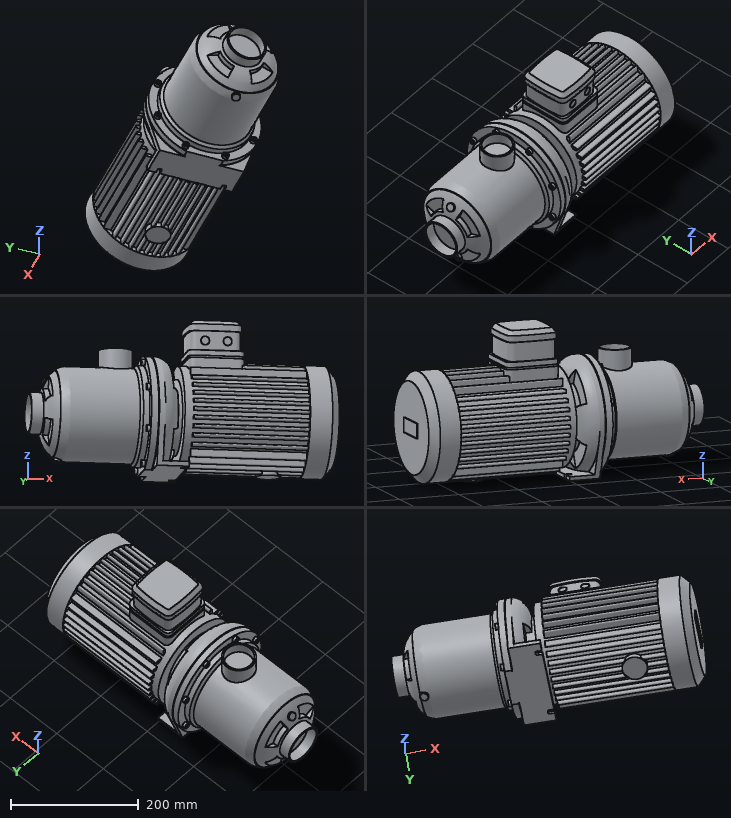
import cadquery as cq
import math


INLET_OUTER_DIAMETER = 66.0
INLET_BORE_DIAMETER = 60.5
DOME_START = 19.0
DOME_END = 39.5
DOME_MID_X = 25.5
DOME_MID_RADIUS = 52.5
DOME_DIAMETER = 136.0
COVER_POCKET_FLOOR = 29.5
COVER_POCKET_INNER_RADIUS = 39.0
COVER_POCKET_HALF_ANGLE = 25.0

BARREL_DIAMETER = 150.0
BARREL_EDGE_RADIUS = 69.5
BARREL_ROUND_X = 46.5
BARREL_ROUND_RADIUS = 73.0
BARREL_START = 54.0
FLARE_START = 164.5
FLARE_END = 169.0
COLLAR_DIAMETER = 160.0

OUTLET_X = 138.0
OUTLET_TOP = 103.5
OUTLET_OUTER_DIAMETER = 54.0
OUTLET_BORE_DIAMETER = 48.5
OUTLET_BORE_DEPTH = 20.0

PLUG_DIAMETER = 13.5
PLUG_LENGTH = 9.5
VENT_PLUG_X = 22.5
VENT_PLUG_Z = 53.5
VENT_PLUG_TILT = 30.6
DRAIN_PLUG_X = 46.0
DRAIN_PLUG_Z = -76.5
DRAIN_PLUG_TILT = -76.0

FLANGE_DIAMETER = 190.0
FLANGE_START = 179.0
BRACKET_START = 191.8
FLANGE_GROOVE_WIDTH = 1.0
FLANGE_GROOVE_DEPTH = 0.5
BRACKET_RIM_END = 201.5
BRACKET_MID_X = 219.0
BRACKET_MID_RADIUS = 84.0
BRACKET_END = 227.5
BRACKET_END_RADIUS = 62.5
BRACKET_WINDOW_FLOOR = 217.5
BRACKET_WINDOW_HALF_ANGLE = 22.0
NECK_DIAMETER = 120.0

POCKET_COUNT = 4
CUT_REACH = 120.8

FOOT_BOTTOM = -90.0
FOOT_WIDTH = 142.0
FOOT_THICKNESS = 7.2
FOOT_END = 243.5
FOOT_SLOT_WIDTH = 7.0
FOOT_SLOT_LENGTH = 10.5
FOOT_SLOT_OFFSET = 54.0

MOTOR_START = 234.5
MOTOR_CORE_DIAMETER = 163.0
MOTOR_DIAMETER = 178.0
FIN_START = 248.5
FIN_SPREAD = 106.7
FIN_THICKNESS = 5.5
FINS_EACH_SIDE = 4
FIN_PITCH = FIN_SPREAD / (2 * FINS_EACH_SIDE)
CAP_START = 433.0
CAP_BEVEL_START = 468.0
CAP_END = 481.5
CAP_END_DIAMETER = 148.5
OVERALL_LENGTH = 483.0
NAMEPLATE_WIDTH = 55.5
NAMEPLATE_HEIGHT = 24.0
PAD_DIAMETER = 40.0
PAD_X = 381.0

BASE_X = 292.5
BASE_SIZE = 89.0
BASE_CORNER_RADIUS = 10.0
BASE_TOP = 101.5
BASE_GROOVE_BOTTOM = 89.5
BASE_GROOVE_TOP = 92.5
BASE_GROOVE_DEPTH = 0.5
BOX_X = 291.5
BOX_SIZE = 84.0
LID_SIZE = 88.0
BOX_BULGE = 3.0
BOX_CORNER_RADIUS = 10.5
LID_BOTTOM = 132.5
LID_TOP = 150.0
LID_CHAMFER = 7.2
CABLE_ENTRY_DIAMETER = 13.5
CABLE_ENTRY_SPACING = 35.7
CABLE_ENTRY_Z = 117.0

SCREW_COUNT = 8
SCREW_CIRCLE_DIAMETER = 174.0
SCREW_HEAD_DIAMETER = 10.0
SCREW_HEAD_LENGTH = 5.5
SCREW_SOCKET_SIZE = 6.0
SCREW_SOCKET_DEPTH = 3.0


def disc(diameter, start, end):
    """Cylinder on the shaft axis between two x positions."""
    return cq.Workplane("YZ").workplane(offset=start).circle(diameter / 2).extrude(end - start)


def sector_cuts(inner_radius, half_angle, start, end):
    """Ring sectors midway between the Y and Z axes, open to the outside."""
    sector_side = CUT_REACH / math.cos(math.radians(half_angle))
    cuts = cq.Workplane("YZ")
    for index in range(POCKET_COUNT):
        middle = 360 / POCKET_COUNT * (index + 0.5)
        corners = [(0, 0)]
        for side in (-1, 1):
            angle = math.radians(middle + side * half_angle)
            corners.append((sector_side * math.cos(angle), sector_side * math.sin(angle)))
        sector = cq.Workplane("YZ").workplane(offset=start).polyline(corners).close().extrude(end - start)
        cuts = cuts.add(sector)
    return cuts.combine().cut(disc(2 * inner_radius, start, end))


def front_cover():
    """Inlet pipe and rounded dome with four pockets around the inlet."""
    dome = (
        cq.Workplane("XY")
        .moveTo(DOME_START, 0)
        .lineTo(DOME_START, INLET_OUTER_DIAMETER / 2)
        .threePointArc((DOME_MID_X, DOME_MID_RADIUS), (DOME_END, DOME_DIAMETER / 2))
        .lineTo(DOME_END, 0)
        .close()
        .revolve(360, (0, 0, 0), (1, 0, 0))
    )
    dome = dome.cut(sector_cuts(COVER_POCKET_INNER_RADIUS, COVER_POCKET_HALF_ANGLE, 0, COVER_POCKET_FLOOR))
    inlet = disc(INLET_OUTER_DIAMETER, 0, DOME_START)
    return dome.union(inlet).cut(disc(INLET_BORE_DIAMETER, 0, DOME_START))


def barrel():
    """Pump barrel with a rounded front edge and a flared collar at the flange."""
    return (
        cq.Workplane("XY")
        .moveTo(DOME_END, 0)
        .lineTo(DOME_END, BARREL_EDGE_RADIUS)
        .threePointArc((BARREL_ROUND_X, BARREL_ROUND_RADIUS), (BARREL_START, BARREL_DIAMETER / 2))
        .lineTo(FLARE_START, BARREL_DIAMETER / 2)
        .lineTo(FLARE_END, COLLAR_DIAMETER / 2)
        .lineTo(FLANGE_START, COLLAR_DIAMETER / 2)
        .lineTo(FLANGE_START, 0)
        .close()
        .revolve(360, (0, 0, 0), (1, 0, 0))
    )


def plug(x, z, tilt):
    """Round plug whose outer end is centred at (x, z); tilt is its lean from -X towards +Z."""
    outward = cq.Vector(-math.cos(math.radians(tilt)), 0, math.sin(math.radians(tilt)))
    solid = cq.Solid.makeCylinder(PLUG_DIAMETER / 2, PLUG_LENGTH, cq.Vector(x, 0, z), outward * -1)
    return cq.Workplane(obj=solid)


def flange_and_bracket():
    """Bolted flange, a thin groove, and the bowl-shaped bracket behind it with four windows."""
    bracket = (
        cq.Workplane("XY")
        .moveTo(FLANGE_START, 0)
        .lineTo(FLANGE_START, FLANGE_DIAMETER / 2)
        .lineTo(BRACKET_RIM_END, FLANGE_DIAMETER / 2)
        .threePointArc((BRACKET_MID_X, BRACKET_MID_RADIUS), (BRACKET_END, BRACKET_END_RADIUS))
        .lineTo(BRACKET_END, 0)
        .close()
        .revolve(360, (0, 0, 0), (1, 0, 0))
    )
    windows = sector_cuts(NECK_DIAMETER / 2, BRACKET_WINDOW_HALF_ANGLE, BRACKET_WINDOW_FLOOR, BRACKET_END)
    groove_start = BRACKET_START - FLANGE_GROOVE_WIDTH
    groove = disc(FLANGE_DIAMETER, groove_start, BRACKET_START)
    groove = groove.cut(disc(FLANGE_DIAMETER - 2 * FLANGE_GROOVE_DEPTH, groove_start, BRACKET_START))
    bracket = bracket.cut(windows).cut(groove)
    below_foot = (
        cq.Workplane("XY")
        .box(OVERALL_LENGTH, FLANGE_DIAMETER, FLANGE_DIAMETER, centered=(False, True, False))
        .translate((0, 0, FOOT_BOTTOM - FLANGE_DIAMETER))
    )
    return bracket.cut(below_foot)


def foot():
    """Angle plate tangent to the flange rim: an upright leg and a flat leg with two open slots."""
    half_width = FOOT_WIDTH / 2
    rim_radius = FLANGE_DIAMETER / 2
    corner_distance = math.hypot(half_width, FOOT_BOTTOM)
    tangent_angle = math.atan2(FOOT_BOTTOM, half_width) + math.acos(rim_radius / corner_distance)
    tangent_y = rim_radius * math.cos(tangent_angle)
    tangent_z = rim_radius * math.sin(tangent_angle)
    block = (
        cq.Workplane("YZ")
        .workplane(offset=BRACKET_START)
        .polyline([
            (-half_width, FOOT_BOTTOM),
            (half_width, FOOT_BOTTOM),
            (tangent_y, tangent_z),
            (-tangent_y, tangent_z),
        ])
        .close()
        .extrude(FOOT_END - BRACKET_START)
    )
    above_flat_leg = (
        cq.Workplane("XY")
        .box(FOOT_END - BRACKET_RIM_END, FLANGE_DIAMETER, rim_radius, centered=(False, True, False))
        .translate((BRACKET_RIM_END, 0, FOOT_BOTTOM + FOOT_THICKNESS))
    )
    slots = (
        cq.Workplane("XY")
        .workplane(offset=FOOT_BOTTOM)
        .pushPoints([(FOOT_END, -FOOT_SLOT_OFFSET), (FOOT_END, FOOT_SLOT_OFFSET)])
        .slot2D(2 * FOOT_SLOT_LENGTH, FOOT_SLOT_WIDTH)
        .extrude(FOOT_THICKNESS)
    )
    return block.cut(above_flat_leg).cut(slots)


def motor_fins():
    """Parallel round-tipped fins: flat at the sides, upright above and below, none at the box."""
    fin_length = CAP_START - FIN_START
    fins = cq.Workplane("XY")
    for index in range(-FINS_EACH_SIDE, FINS_EACH_SIDE + 1):
        offset = index * FIN_PITCH
        span = 2 * math.sqrt((MOTOR_DIAMETER / 2) ** 2 - offset**2)
        section = cq.Workplane("YZ").workplane(offset=FIN_START)
        fins = fins.add(section.center(0, offset).slot2D(span, FIN_THICKNESS).extrude(fin_length))
        fins = fins.add(section.center(offset, 0).slot2D(span, FIN_THICKNESS, 90).extrude(fin_length))
    under_terminal_box = (
        cq.Workplane("XY")
        .box(BASE_X - FIN_START, BASE_SIZE, MOTOR_DIAMETER, centered=(False, True, False))
        .translate((FIN_START, 0, 0))
    )
    return fins.combine().cut(under_terminal_box)


def motor():
    """Finned motor body with its end cap, nameplate and support pad."""
    core = disc(MOTOR_CORE_DIAMETER, MOTOR_START, CAP_START)
    cap = (
        cq.Workplane("XY")
        .polyline([
            (CAP_START, 0),
            (CAP_START, MOTOR_DIAMETER / 2),
            (CAP_BEVEL_START, MOTOR_DIAMETER / 2),
            (CAP_END, CAP_END_DIAMETER / 2),
            (CAP_END, 0),
        ])
        .close()
        .revolve(360, (0, 0, 0), (1, 0, 0))
    )
    nameplate = (
        cq.Workplane("YZ")
        .workplane(offset=CAP_END)
        .rect(NAMEPLATE_WIDTH, NAMEPLATE_HEIGHT)
        .extrude(OVERALL_LENGTH - CAP_END)
    )
    pad = (
        cq.Workplane("XY")
        .workplane(offset=FOOT_BOTTOM)
        .center(PAD_X, 0)
        .circle(PAD_DIAMETER / 2)
        .extrude(-FOOT_BOTTOM)
    )
    return core.union(motor_fins()).union(cap).union(nameplate).union(pad)


def bulged_block(size, bottom, top):
    """Square block with slightly bowed sides and rounded corners."""
    middle = size / 2
    corner = middle - BOX_BULGE
    return (
        cq.Workplane("XY")
        .workplane(offset=bottom)
        .center(BOX_X, 0)
        .moveTo(-corner, -corner)
        .threePointArc((0, -middle), (corner, -corner))
        .threePointArc((middle, 0), (corner, corner))
        .threePointArc((0, middle), (-corner, corner))
        .threePointArc((-middle, 0), (-corner, -corner))
        .close()
        .extrude(top - bottom)
        .edges("|Z")
        .fillet(BOX_CORNER_RADIUS)
    )


def base_block(inset, bottom, top):
    """Slice of the terminal box base, inset from its full outline."""
    size = BASE_SIZE - 2 * inset
    return (
        cq.Workplane("XY")
        .workplane(offset=bottom)
        .center(BASE_X, 0)
        .rect(size, size)
        .extrude(top - bottom)
        .edges("|Z")
        .fillet(BASE_CORNER_RADIUS - inset)
    )


def terminal_box():
    """Grooved base on the motor, box with two cable entries, and chamfered lid."""
    base = base_block(0, 0, BASE_GROOVE_BOTTOM)
    base = base.union(base_block(BASE_GROOVE_DEPTH, BASE_GROOVE_BOTTOM, BASE_GROOVE_TOP))
    base = base.union(base_block(0, BASE_GROOVE_TOP, BASE_TOP))
    box = bulged_block(BOX_SIZE, BASE_TOP, LID_BOTTOM)
    lid = bulged_block(LID_SIZE, LID_BOTTOM, LID_TOP).faces(">Z").chamfer(LID_CHAMFER)
    cable_entries = (
        cq.Workplane("XZ")
        .center(BOX_X, CABLE_ENTRY_Z)
        .rarray(CABLE_ENTRY_SPACING, 5, 2, 1)
        .circle(CABLE_ENTRY_DIAMETER / 2)
        .extrude(BOX_SIZE / 2)
    )
    return base.union(box).union(lid).union(cable_entries)


def outlet_pipe():
    """Upright outlet pipe standing on the barrel."""
    return (
        cq.Workplane("XY")
        .center(OUTLET_X, 0)
        .circle(OUTLET_OUTER_DIAMETER / 2)
        .extrude(OUTLET_TOP)
    )


def outlet_bore():
    """Blind bore of the outlet pipe."""
    return (
        cq.Workplane("XY")
        .workplane(offset=OUTLET_TOP)
        .center(OUTLET_X, 0)
        .circle(OUTLET_BORE_DIAMETER / 2)
        .extrude(-OUTLET_BORE_DEPTH)
    )


def pump_and_motor():
    """The pump unit: cover, barrel, bracket, foot, motor and terminal box in one solid."""
    unit = front_cover()
    unit = unit.union(barrel())
    unit = unit.union(outlet_pipe()).cut(outlet_bore())
    unit = unit.union(plug(VENT_PLUG_X, VENT_PLUG_Z, VENT_PLUG_TILT))
    unit = unit.union(plug(DRAIN_PLUG_X, DRAIN_PLUG_Z, DRAIN_PLUG_TILT))
    unit = unit.union(flange_and_bracket())
    unit = unit.union(foot())
    unit = unit.union(disc(NECK_DIAMETER, BRACKET_WINDOW_FLOOR, MOTOR_START))
    unit = unit.union(motor().union(terminal_box()))
    return unit


def flange_screw(angle):
    """Socket screw head on the front of the flange, at an angle around the shaft axis."""
    radius = SCREW_CIRCLE_DIAMETER / 2
    centre_y = radius * math.cos(math.radians(angle))
    centre_z = radius * math.sin(math.radians(angle))
    return (
        cq.Workplane("YZ")
        .workplane(offset=FLANGE_START)
        .center(centre_y, centre_z)
        .circle(SCREW_HEAD_DIAMETER / 2)
        .extrude(-SCREW_HEAD_LENGTH)
        .faces("<X")
        .workplane()
        .polygon(6, SCREW_SOCKET_SIZE)
        .cutBlind(-SCREW_SOCKET_DEPTH)
    )


pump = pump_and_motor()
screws = [flange_screw(360 / SCREW_COUNT * (index + 0.5)) for index in range(SCREW_COUNT)]

result = cq.Compound.makeCompound([pump.val(), *[screw.val() for screw in screws]])